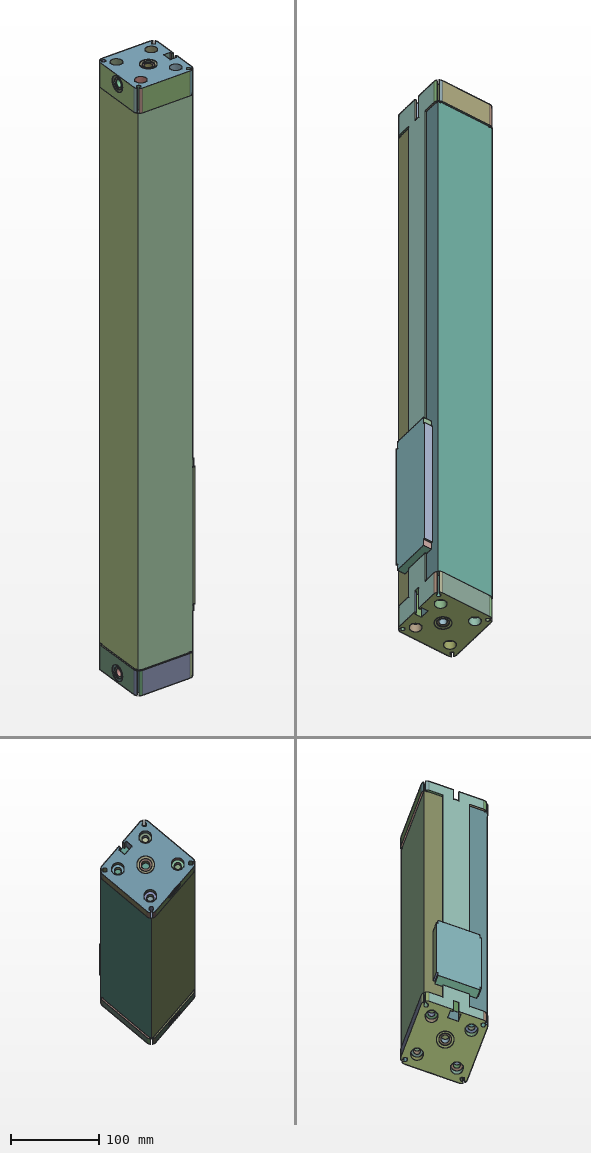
import cadquery as cq
import math

LENGTH = 800.0
CAP_WIDTH = 80.0
CAP_LENGTH = 33.0
CAP_CORNER_RADIUS = 7.0
BARREL_WIDTH = 76.0
BARREL_LENGTH = LENGTH - 2 * CAP_LENGTH
HALF_LENGTH = LENGTH / 2
HALF_CAP = CAP_WIDTH / 2

BAND_WIDTH = 32.0

GROOVE_BORE_DIAMETER = 4.9
GROOVE_BORE_INSET = 6.0
GROOVE_SLIT_WIDTH = 2.0

SCREW_PITCH = 48.0
SCREW_HEAD_DIAMETER = 14.0
SCREW_HEAD_DEPTH = 12.0
SCREW_DIAMETER = 8.0
SCREW_DEPTH = 24.0

PORT_DIAMETER = 10.0
PORT_DEPTH = 16.0
PORT_STEP_DIAMETER = 14.0
PORT_STEP_DEPTH = 2.0
SPOT_FACE_DIAMETER = 20.0
SPOT_FACE_DEPTH = 1.0
END_PORT_Y = 3.0
SIDE_PORT_INSET = 12.0

SLOT_WIDTH = 13.0
SLOT_DEPTH = 11.0
SLOT_MOUTH_WIDTH = 6.0
SLOT_LIP = 2.0

CARRIAGE_LENGTH = 200.0
CARRIAGE_WIDTH = 54.0
CARRIAGE_TOP_Y = 49.0
CARRIAGE_HEIGHT = CARRIAGE_TOP_Y - BARREL_WIDTH / 2
CARRIAGE_CENTRE_Z = -223.0
CARRIAGE_END_LENGTH = 10.0
CARRIAGE_END_WIDTH = 50.0


def stepped_hole(plane, *steps):
    """Cutter that goes in against the plane's normal, from (diameter, depth) steps."""
    cutter = cq.Workplane(plane)
    for diameter, depth in steps:
        cutter = cutter.union(cq.Workplane(plane).circle(diameter / 2).extrude(-depth))
    return cutter


def port(plane):
    return stepped_hole(
        plane,
        (SPOT_FACE_DIAMETER, SPOT_FACE_DEPTH),
        (PORT_STEP_DIAMETER, PORT_STEP_DEPTH),
        (PORT_DIAMETER, PORT_DEPTH),
    )


def screw_hole(plane):
    return stepped_hole(plane, (SCREW_HEAD_DIAMETER, SCREW_HEAD_DEPTH), (SCREW_DIAMETER, SCREW_DEPTH))


def t_slot(end):
    """Cutter for the T-slot, as deep as the cap is long."""
    face = cq.Workplane("XY", origin=(0, HALF_CAP, end * HALF_LENGTH))
    outline = (
        face.moveTo(0, 0)
        .lineTo(SLOT_MOUTH_WIDTH / 2, 0)
        .lineTo(SLOT_MOUTH_WIDTH / 2, -SLOT_LIP)
        .lineTo(SLOT_WIDTH / 2, -SLOT_LIP)
        .lineTo(SLOT_WIDTH / 2, -SLOT_DEPTH)
        .lineTo(0, -SLOT_DEPTH)
        .mirrorY()
    )
    return outline.extrude(-end * CAP_LENGTH)


def corner_groove(side_x, side_y, end):
    """Cutter for the keyhole groove that opens diagonally outward at one corner of a cap."""
    offset = HALF_CAP - GROOVE_BORE_INSET
    bore_plane = cq.Plane(
        origin=(side_x * offset, side_y * offset, end * HALF_LENGTH),
        xDir=(side_x, side_y, 0),
        normal=(0, 0, end),
    )
    slit_length = math.sqrt(2) * GROOVE_BORE_INSET
    bore = cq.Workplane(bore_plane).circle(GROOVE_BORE_DIAMETER / 2)
    slit = cq.Workplane(bore_plane).center(slit_length / 2, 0).rect(slit_length, GROOVE_SLIT_WIDTH)
    return bore.extrude(-CAP_LENGTH).union(slit.extrude(-CAP_LENGTH))


def band():
    height = HALF_CAP - BARREL_WIDTH / 2
    centre_y = HALF_CAP - height / 2
    return cq.Workplane("XY").box(BAND_WIDTH, height, BARREL_LENGTH).translate((0, centre_y, 0))


def end_cap(end):
    """Cap with all its holes; end is +1 for the upper cap and -1 for the lower one."""
    end_z = end * HALF_LENGTH
    cap = (
        cq.Workplane("XY")
        .box(CAP_WIDTH, CAP_WIDTH, CAP_LENGTH)
        .edges("|Z")
        .fillet(CAP_CORNER_RADIUS)
        .translate((0, 0, end_z - end * CAP_LENGTH / 2))
    )
    for side_x in (-1, 1):
        for side_y in (-1, 1):
            screw_place = (side_x * SCREW_PITCH / 2, side_y * SCREW_PITCH / 2, end_z)
            screw_plane = cq.Plane(origin=screw_place, normal=(0, 0, end))
            cap = cap.cut(screw_hole(screw_plane))
            cap = cap.cut(corner_groove(side_x, side_y, end))
    end_plane = cq.Plane(origin=(0, END_PORT_Y, end_z), normal=(0, 0, end))
    side_plane = cq.Plane(origin=(0, -HALF_CAP, end_z - end * SIDE_PORT_INSET), normal=(0, -1, 0))
    return cap.cut(port(end_plane)).cut(port(side_plane)).cut(t_slot(end))


def make_cylinder():
    barrel = cq.Workplane("XY").box(BARREL_WIDTH, BARREL_WIDTH, BARREL_LENGTH)
    body = barrel.union(band())
    for end in (-1, 1):
        body = body.union(end_cap(end))
    return body


def make_carriage():
    """Plate with a slightly narrower block at each end and a channel that fits the band."""
    middle_length = CARRIAGE_LENGTH - 2 * CARRIAGE_END_LENGTH
    centre = (0, CARRIAGE_TOP_Y - CARRIAGE_HEIGHT / 2, CARRIAGE_CENTRE_Z)
    middle = cq.Workplane("XY").box(CARRIAGE_WIDTH, CARRIAGE_HEIGHT, middle_length)
    ends = cq.Workplane("XY").box(CARRIAGE_END_WIDTH, CARRIAGE_HEIGHT, CARRIAGE_LENGTH)
    return middle.union(ends).translate(centre).cut(band())


cylinder = make_cylinder()
carriage = make_carriage()

result = cq.Compound.makeCompound([cylinder.val(), carriage.val()])